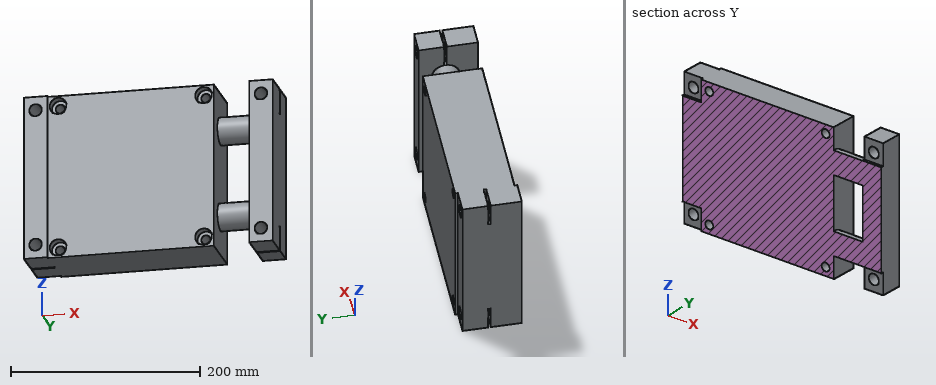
import cadquery as cq

LENGTH = 270.0
HEIGHT = 180.0
THICKNESS = 64.0
BODY_SHIFT = 3.0
PLATE_WIDTH = 25.5
BODY_WIDTH = 180.0

ROD_DIAMETER = 30.0
ROD_SPACING = 95.8

SLOT_WIDTH = 3.0

PLATE_HOLE_DIAMETER = 13.5
PLATE_HOLE_SPACING = 150.0

BODY_HOLE_DIAMETER = 10.0
BODY_HOLE_SPACING = 158.0
COUNTERBORE_DIAMETER = 18.0
COUNTERBORE_DEPTH = 11.0

body_start = PLATE_WIDTH
rod_y = BODY_SHIFT + THICKNESS / 2
plate_starts = (0, LENGTH - PLATE_WIDTH)


def block(x_start, y_start, width):
    """Full-height block of the common thickness, centred on Z = 0."""
    return (
        cq.Workplane("XY")
        .box(width, THICKNESS, HEIGHT, centered=(False, False, True))
        .translate((x_start, y_start, 0))
    )


def body():
    """Central block with a counterbored hole at each corner of its front face."""
    return (
        block(body_start, BODY_SHIFT, BODY_WIDTH)
        .faces("<Y")
        .workplane(centerOption="CenterOfMass")
        .rect(BODY_HOLE_SPACING, BODY_HOLE_SPACING, forConstruction=True)
        .vertices()
        .cboreHole(BODY_HOLE_DIAMETER, COUNTERBORE_DIAMETER, COUNTERBORE_DEPTH)
    )


def end_plate(x_start):
    """End plate with two through holes and a clamp slot in its top and bottom ends."""
    plate = (
        block(x_start, 0, PLATE_WIDTH)
        .faces("<Y")
        .workplane(centerOption="CenterOfMass")
        .rarray(2.7, PLATE_HOLE_SPACING, 1, 2)
        .hole(PLATE_HOLE_DIAMETER)
    )
    slot_length = (HEIGHT - ROD_SPACING - ROD_DIAMETER) / 2
    for side in (-1, 1):
        slot = cq.Workplane("XY").box(PLATE_WIDTH, SLOT_WIDTH, slot_length)
        slot_z = side * (HEIGHT - slot_length) / 2
        plate = plate.cut(slot.translate((x_start + PLATE_WIDTH / 2, rod_y, slot_z)))
    return plate


def rods():
    """Pair of rods bridging the gap and running through the far plate."""
    rod_start = body_start + BODY_WIDTH
    return (
        cq.Workplane("YZ", origin=(rod_start, rod_y, 0))
        .rarray(2.7, ROD_SPACING, 1, 2)
        .circle(ROD_DIAMETER / 2)
        .extrude(LENGTH - rod_start)
    )


result = body().union(rods())
for plate_start in plate_starts:
    result = result.union(end_plate(plate_start))